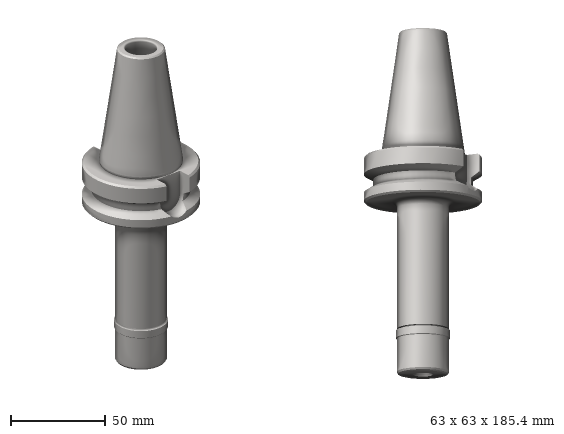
import cadquery as cq


GAUGE_RADIUS = 44.45 / 2
TAPER_HEIGHT = 65.4
TAPER_SLOPE = 3.5 / 24
TAPER_TOP_RADIUS = GAUGE_RADIUS - TAPER_HEIGHT * TAPER_SLOPE
TAPER_TOP_CHAMFER = 0.7

BEAD_RADIUS = 22.35
BEAD_BEVEL_HEIGHT = 0.65

FLANGE_RADIUS = 63 / 2
FLANGE_TOP = -2.0
FLANGE_BOTTOM = -27.0
FLANGE_CHAMFER = 1.0

GROOVE_RADIUS = 53 / 2
GROOVE_TOP = -11.6
GROOVE_BOTTOM = -21.6
GROOVE_FLANK_HEIGHT = 2.9

SLOT_WIDTH = 16.1
SLOT_FLOOR = 22.5
SLOT_BOTTOM = -23.5

NOSE = -120.0
SHANK_RADIUS = 13.75
NUT_RADIUS = 13.95
SHANK_FILLET = 2.8
NECK_RADIUS = 12.0
NECK_TOP = -95.2
NECK_FILLET = 0.5
COLLAR_RADIUS = 14.35
COLLAR_TOP = -96.2
COLLAR_BOTTOM = -100.7
COLLAR_CHAMFER = COLLAR_RADIUS - NUT_RADIUS
NUT_BEVEL_START = -118.6
NUT_BEVEL_BREAK_RADIUS = 13.4
NUT_BEVEL_BREAK = -119.6
NUT_FACE_RADIUS = 12.0

BORE_RADIUS = 5.2
PILOT_RADIUS = 7.0
PILOT_LENGTH = 20.0
COUNTERBORE_RADIUS = 8.5
COUNTERBORE_DEPTH = 6.6
MOUTH_FILLET = 0.9
UNDERCUT_RADIUS = 9.0
UNDERCUT_WIDTH = 2.6


def revolve_about_z(profile):
    """Turn a closed XZ half outline a full circle about the Z axis."""
    return profile.revolve(360, (0, 0, 0), (0, 1, 0))


def make_body():
    """Revolve the outer outline of the holder about Z."""
    profile = (
        cq.Workplane("XZ")
        .moveTo(0, TAPER_HEIGHT)
        .lineTo(TAPER_TOP_RADIUS - TAPER_TOP_CHAMFER, TAPER_HEIGHT)
        .lineTo(TAPER_TOP_RADIUS + TAPER_TOP_CHAMFER * TAPER_SLOPE, TAPER_HEIGHT - TAPER_TOP_CHAMFER)
        .lineTo(GAUGE_RADIUS, 0)
        .lineTo(BEAD_RADIUS, -BEAD_BEVEL_HEIGHT)
        .lineTo(BEAD_RADIUS, FLANGE_TOP + BEAD_BEVEL_HEIGHT)
        .lineTo(GAUGE_RADIUS, FLANGE_TOP)
        .lineTo(FLANGE_RADIUS - FLANGE_CHAMFER, FLANGE_TOP)
        .lineTo(FLANGE_RADIUS, FLANGE_TOP - FLANGE_CHAMFER)
        .lineTo(FLANGE_RADIUS, GROOVE_TOP)
        .lineTo(GROOVE_RADIUS, GROOVE_TOP - GROOVE_FLANK_HEIGHT)
        .lineTo(GROOVE_RADIUS, GROOVE_BOTTOM + GROOVE_FLANK_HEIGHT)
        .lineTo(FLANGE_RADIUS, GROOVE_BOTTOM)
        .lineTo(FLANGE_RADIUS, FLANGE_BOTTOM + FLANGE_CHAMFER)
        .lineTo(FLANGE_RADIUS - FLANGE_CHAMFER, FLANGE_BOTTOM)
        .lineTo(SHANK_RADIUS + SHANK_FILLET, FLANGE_BOTTOM)
        .radiusArc((SHANK_RADIUS, FLANGE_BOTTOM - SHANK_FILLET), -SHANK_FILLET)
        .lineTo(SHANK_RADIUS, NECK_TOP)
        .lineTo(NECK_RADIUS, NECK_TOP)
        .lineTo(NECK_RADIUS, COLLAR_TOP + NECK_FILLET)
        .radiusArc((NECK_RADIUS + NECK_FILLET, COLLAR_TOP), -NECK_FILLET)
        .lineTo(COLLAR_RADIUS, COLLAR_TOP)
        .lineTo(COLLAR_RADIUS, COLLAR_BOTTOM + COLLAR_CHAMFER)
        .lineTo(NUT_RADIUS, COLLAR_BOTTOM)
        .lineTo(NUT_RADIUS, NUT_BEVEL_START)
        .lineTo(NUT_BEVEL_BREAK_RADIUS, NUT_BEVEL_BREAK)
        .lineTo(NUT_FACE_RADIUS, NOSE)
        .lineTo(0, NOSE)
        .close()
    )
    return revolve_about_z(profile)


def make_bore():
    """Through bore with a rounded counterbore, an undercut and two 45-degree steps."""
    undercut_top = TAPER_HEIGHT - COUNTERBORE_DEPTH
    seat_top = undercut_top - UNDERCUT_WIDTH
    seat_bottom = seat_top - (COUNTERBORE_RADIUS - PILOT_RADIUS)
    pilot_bottom = seat_bottom - PILOT_LENGTH
    profile = (
        cq.Workplane("XZ")
        .moveTo(0, TAPER_HEIGHT)
        .lineTo(COUNTERBORE_RADIUS + MOUTH_FILLET, TAPER_HEIGHT)
        .radiusArc((COUNTERBORE_RADIUS, TAPER_HEIGHT - MOUTH_FILLET), -MOUTH_FILLET)
        .lineTo(COUNTERBORE_RADIUS, undercut_top)
        .lineTo(UNDERCUT_RADIUS, undercut_top)
        .lineTo(UNDERCUT_RADIUS, seat_top)
        .lineTo(COUNTERBORE_RADIUS, seat_top)
        .lineTo(PILOT_RADIUS, seat_bottom)
        .lineTo(PILOT_RADIUS, pilot_bottom)
        .lineTo(BORE_RADIUS, pilot_bottom - (PILOT_RADIUS - BORE_RADIUS))
        .lineTo(BORE_RADIUS, NOSE)
        .lineTo(0, NOSE)
        .close()
    )
    return revolve_about_z(profile)


def make_drive_slot(side):
    """Round-bottomed drive slot cut inward from the +X (side = 1) or -X (side = -1) rim."""
    radius = SLOT_WIDTH / 2
    arc_center = SLOT_BOTTOM + radius
    return (
        cq.Workplane("YZ", origin=(side * SLOT_FLOOR, 0, 0))
        .moveTo(-radius, FLANGE_TOP)
        .lineTo(-radius, arc_center)
        .threePointArc((0, SLOT_BOTTOM), (radius, arc_center))
        .lineTo(radius, FLANGE_TOP)
        .close()
        .extrude(side * FLANGE_RADIUS)
    )


result = make_body().cut(make_bore())
for slot_side in (1, -1):
    result = result.cut(make_drive_slot(slot_side))